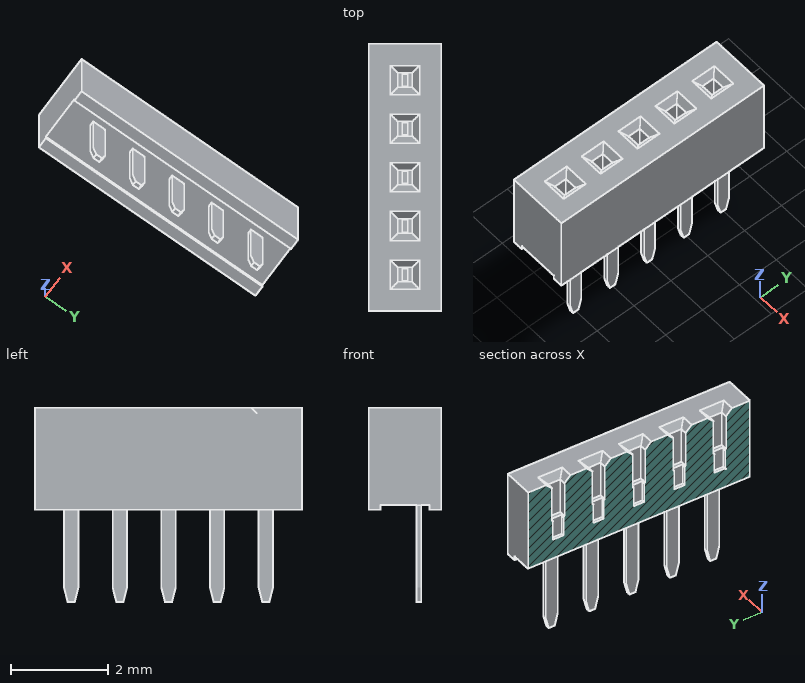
import cadquery as cq


LENGTH = 5.5
WIDTH = 1.5
HOUSING_HEIGHT = 2.1
RAIL_HEIGHT = 0.1
RAIL_WIDTH = 0.25

CONTACT_COUNT = 5
PITCH = 1.0

MOUTH_SIZE = 0.6
SHAFT_SIZE = MOUTH_SIZE / 2
MOUTH_DEPTH = (MOUTH_SIZE - SHAFT_SIZE) / 2
SHAFT_DEPTH = 1.0
SLOT_WIDTH = 0.12
SLOT_BEVEL = 0.025
SLOT_DEPTH = 0.5

OVERALL_HEIGHT = 4.0
PIN_THICKNESS = 0.1
PIN_WIDTH = 0.3
PIN_OFFSET = 0.285
TIP_WIDTH = 0.15
TIP_LENGTH = 0.3

PIN_BOTTOM = HOUSING_HEIGHT - OVERALL_HEIGHT
CONTACT_POSITIONS = [(i - (CONTACT_COUNT - 1) / 2) * PITCH for i in range(CONTACT_COUNT)]


def make_housing():
    """Block with a full-length channel underneath that leaves two rails."""
    block = cq.Workplane("XY").box(WIDTH, LENGTH, HOUSING_HEIGHT, centered=(True, True, False))
    channel = cq.Workplane("XY").box(
        WIDTH - 2 * RAIL_WIDTH, LENGTH, RAIL_HEIGHT, centered=(True, True, False)
    )
    return block.cut(channel)


def make_socket(y):
    """Cavity of one socket: bevelled mouth, shaft and contact slot."""
    mouth = (
        cq.Workplane("XY", origin=(0, y, HOUSING_HEIGHT))
        .rect(MOUTH_SIZE, MOUTH_SIZE)
        .workplane(offset=-MOUTH_DEPTH)
        .rect(SHAFT_SIZE, SHAFT_SIZE)
        .loft(ruled=True)
    )
    shaft = (
        cq.Workplane("XY", origin=(0, y, HOUSING_HEIGHT - MOUTH_DEPTH))
        .rect(SHAFT_SIZE, SHAFT_SIZE)
        .extrude(MOUTH_DEPTH - SHAFT_DEPTH)
    )
    half_top = SHAFT_SIZE / 2
    half_bottom = half_top - SLOT_BEVEL
    slot = (
        cq.Workplane("YZ", origin=(0, y, HOUSING_HEIGHT - SHAFT_DEPTH))
        .polyline([
            (-half_top, 0),
            (-half_bottom, -SLOT_BEVEL),
            (-half_bottom, -SLOT_DEPTH),
            (half_bottom, -SLOT_DEPTH),
            (half_bottom, -SLOT_BEVEL),
            (half_top, 0),
        ])
        .close()
        .extrude(SLOT_WIDTH / 2, both=True)
    )
    return mouth.union(shaft).union(slot)


def make_pin(y):
    """Flat pin below the channel roof, tapered in width at its tip."""
    half_width = PIN_WIDTH / 2
    half_tip = TIP_WIDTH / 2
    taper_start = PIN_BOTTOM + TIP_LENGTH
    return (
        cq.Workplane("YZ", origin=(PIN_OFFSET, y, 0))
        .polyline([
            (-half_width, RAIL_HEIGHT),
            (-half_width, taper_start),
            (-half_tip, PIN_BOTTOM),
            (half_tip, PIN_BOTTOM),
            (half_width, taper_start),
            (half_width, RAIL_HEIGHT),
        ])
        .close()
        .extrude(PIN_THICKNESS / 2, both=True)
    )


result = make_housing()
for contact_y in CONTACT_POSITIONS:
    result = result.cut(make_socket(contact_y)).union(make_pin(contact_y))